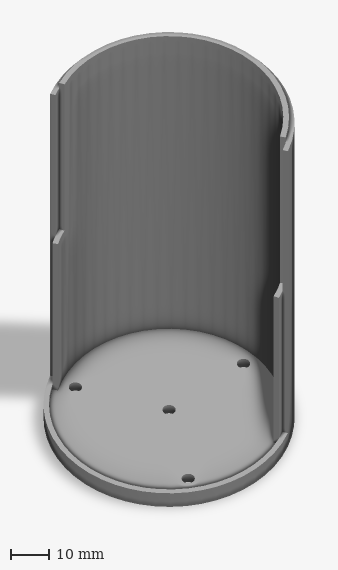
import cadquery as cq
import math

height = 112.0
outer_radius = 66.0 / 2

liner_outer_radius = 63.0 / 2
liner_inner_radius = 60.0 / 2

base_height = 5.0
floor_thickness = 3.0
lip_height = 2.0
wall_top = height - lip_height
step_height = (floor_thickness + height) / 2

overlap_angle = 5.0

hole_diameter = 3.5
hole_circle_radius = 26.0
hole_count = 3
first_hole_angle = 180.0


def polar_point(radius, angle):
    """Point in the XY plane at a radius and an angle in degrees."""
    return (radius * math.cos(math.radians(angle)), radius * math.sin(math.radians(angle)))


def disc(radius, bottom, top):
    """Solid disc on the Z axis between two heights."""
    return cq.Workplane("XY").workplane(offset=bottom).circle(radius).extrude(top - bottom)


def curved_wall(inner, outer, end_angle, bottom, top):
    """Upright wall curving around the +Y side, from end_angle to its mirror across the YZ plane."""
    mirrored_end = 180 - end_angle
    return (
        cq.Workplane("XY")
        .workplane(offset=bottom)
        .moveTo(*polar_point(outer, end_angle))
        .threePointArc((0, outer), polar_point(outer, mirrored_end))
        .lineTo(*polar_point(inner, mirrored_end))
        .threePointArc((0, inner), polar_point(inner, end_angle))
        .close()
        .extrude(top - bottom)
    )


base = disc(outer_radius, 0, base_height)
recess = disc(liner_outer_radius, floor_thickness, base_height)
tray = base.cut(recess)

wall = curved_wall(liner_outer_radius, outer_radius, 0, 0, wall_top)

lower_liner = curved_wall(
    liner_inner_radius, liner_outer_radius, -overlap_angle, floor_thickness, step_height
)
upper_liner = curved_wall(
    liner_inner_radius, liner_outer_radius, overlap_angle, step_height, height
)

hole_centres = [(0, 0)]
for index in range(hole_count):
    hole_angle = first_hole_angle + index * 360 / hole_count
    hole_centres.append(polar_point(hole_circle_radius, hole_angle))
holes = (
    cq.Workplane("XY")
    .pushPoints(hole_centres)
    .circle(hole_diameter / 2)
    .extrude(floor_thickness)
)

result = tray.union(wall).union(lower_liner).union(upper_liner).cut(holes)